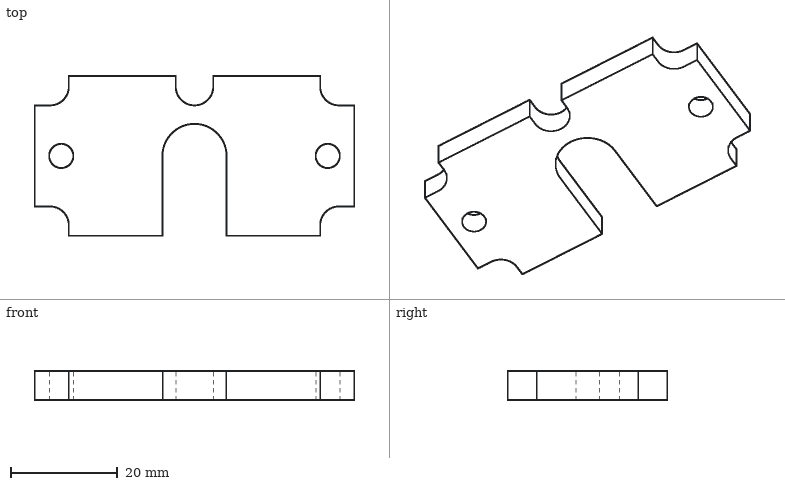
import cadquery as cq

plate_length = 60.0
plate_width = 30.0
plate_thickness = 5.5

notch_radius = 3.5
notch_depth = 5.5
corner_notch_length = 6.4

slot_width = 12.0
slot_radius = slot_width / 2

hole_diameter = 4.5
hole_spacing = 50.0

half_length = plate_length / 2
half_width = plate_width / 2


def make_plate():
    return cq.Workplane("XY").box(
        plate_length, plate_width, plate_thickness, centered=(True, True, False)
    )


def make_corner_notch(x_side, y_side):
    """Cutter for one corner, with its inner vertical edge rounded."""
    cutter_length = 2 * corner_notch_length
    cutter_width = 2 * notch_depth
    return (
        cq.Workplane("XY")
        .center(x_side * half_length, y_side * half_width)
        .rect(cutter_length, cutter_width)
        .extrude(plate_thickness)
        .edges("|Z")
        .fillet(notch_radius)
    )


def make_edge_slot(y_side, radius, end_y):
    """Cutter open at a long edge, with a round end centred on X = 0, Y = end_y."""
    edge_y = y_side * half_width
    return (
        cq.Workplane("XY")
        .moveTo(-radius, edge_y)
        .lineTo(-radius, end_y)
        .threePointArc((0, end_y - y_side * radius), (radius, end_y))
        .lineTo(radius, edge_y)
        .close()
        .extrude(plate_thickness)
    )


def make_mounting_holes():
    return (
        cq.Workplane("XY")
        .pushPoints([(-hole_spacing / 2, 0), (hole_spacing / 2, 0)])
        .circle(hole_diameter / 2)
        .extrude(plate_thickness)
    )


result = make_plate()

for x_side in (-1, 1):
    for y_side in (-1, 1):
        result = result.cut(make_corner_notch(x_side, y_side))

back_notch_end_y = half_width - notch_depth + notch_radius
result = result.cut(make_edge_slot(1, notch_radius, back_notch_end_y))
result = result.cut(make_edge_slot(-1, slot_radius, 0))
result = result.cut(make_mounting_holes())